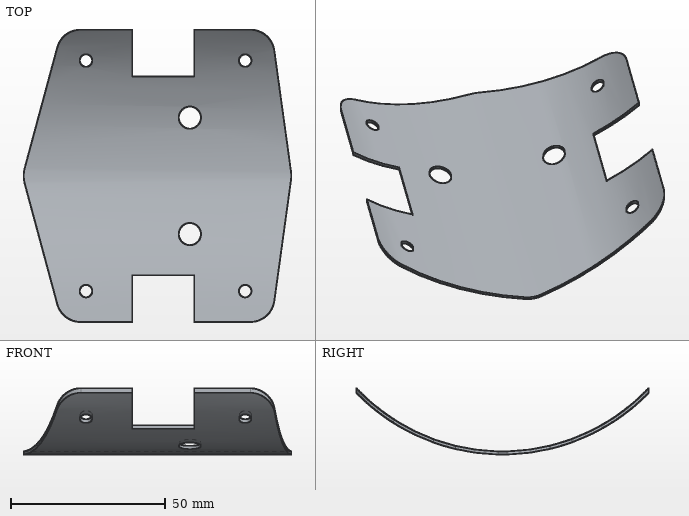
import cadquery as cq
import math

length = 94.8
half_length = length / 2

inner_radius = 65.1
thickness = 1.0
outer_radius = inner_radius + thickness
axis_height = outer_radius

left_apex_x = -43.7
right_apex_x = 43.5
tip_radius = 10.0
left_end_x = -30.9
right_end_x = 37.0
corner_radius = 8.0

notch_width = 20.0
notch_center_x = 1.9
notch_bottom_y = 32.2

small_hole_diameter = 4.0
small_hole_y = 37.4
small_hole_left_x = -23.1
small_hole_right_x = 28.45
large_hole_diameter = 7.1
large_hole_x = 10.5
large_hole_y = 18.9

cut_height = 2 * axis_height


def curved_sheet():
    """Lower arc of the shell, ending in vertical faces at both ends."""
    inner_rise = math.sqrt(inner_radius**2 - half_length**2)
    outer_rise = math.sqrt(outer_radius**2 - half_length**2)
    inner_end_z = axis_height - inner_rise
    outer_end_z = axis_height - outer_rise
    section = (
        cq.Workplane("YZ")
        .moveTo(-half_length, outer_end_z)
        .threePointArc((0, 0), (half_length, outer_end_z))
        .lineTo(half_length, inner_end_z)
        .threePointArc((0, thickness), (-half_length, inner_end_z))
        .close()
    )
    sheet_width = right_apex_x - left_apex_x
    return section.extrude(sheet_width).translate((left_apex_x, 0, 0))


def plan_prism():
    """Six-sided plan outline, rounded at its end corners and side tips."""
    prism = (
        cq.Workplane("XY")
        .polyline([
            (left_apex_x, 0),
            (left_end_x, half_length),
            (right_end_x, half_length),
            (right_apex_x, 0),
            (right_end_x, -half_length),
            (left_end_x, -half_length),
        ])
        .close()
        .extrude(cut_height)
    )
    end_corners = prism.faces("<Y or >Y").edges("|Z")
    rounded = end_corners.fillet(corner_radius)
    return rounded.edges("|Z").edges("<X or >X").fillet(tip_radius)


def end_notches():
    notch_depth = half_length - notch_bottom_y
    notch_center_y = half_length - notch_depth / 2
    return (
        cq.Workplane("XY")
        .pushPoints([(notch_center_x, side * notch_center_y) for side in (-1, 1)])
        .rect(notch_width, notch_depth)
        .extrude(cut_height)
    )


def hole_pair(diameter, x, y):
    """Vertical hole cutters at +Y and -Y."""
    return (
        cq.Workplane("XY")
        .pushPoints([(x, side * y) for side in (-1, 1)])
        .circle(diameter / 2)
        .extrude(cut_height)
    )


result = curved_sheet().intersect(plan_prism()).cut(end_notches())
for hole_x in (small_hole_left_x, small_hole_right_x):
    result = result.cut(hole_pair(small_hole_diameter, hole_x, small_hole_y))
result = result.cut(hole_pair(large_hole_diameter, large_hole_x, large_hole_y))